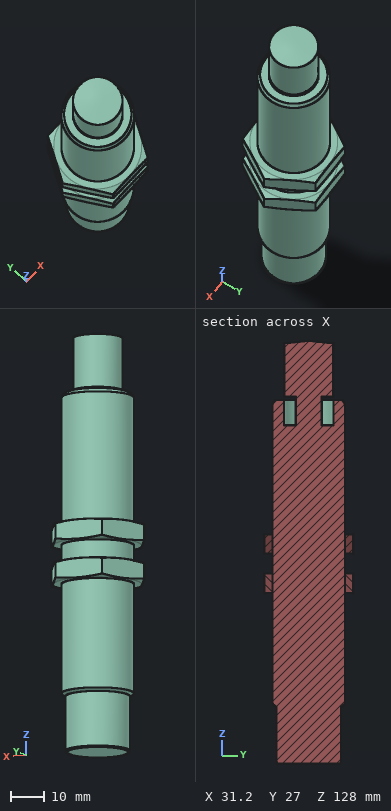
import cadquery as cq
import math

total_height = 128.0
shank_diameter = 19.6
shank_edge_chamfer = 0.4
barrel_diameter = 22.0
barrel_bottom = 17.2
barrel_bottom_chamfer_height = 0.9
barrel_top = 110.1
barrel_top_diameter = 20.4
barrel_top_chamfer_height = 1.2
recess_depth = 7.7
neck_diameter = 8.0
plunger_diameter = 15.0
recess_diameter = plunger_diameter
plunger_bottom = 111.0
plunger_cone_height = 0.8

nut_across_flats = 27.0
nut_across_corners = nut_across_flats / math.cos(math.radians(30))
nut_height = 6.0
nut_spacing = 11.9
lower_nut_bottom = 51.6
nut_count = 2
nut_face_diameter = 26.6
nut_chamfer_angle = 15.0


def make_sensor():
    """Shank, barrel with a recessed top, neck and cone-tipped plunger, revolved about Z."""
    shank_radius = shank_diameter / 2
    barrel_radius = barrel_diameter / 2
    recess_radius = recess_diameter / 2
    neck_radius = neck_diameter / 2
    plunger_radius = plunger_diameter / 2
    profile = [
        (0, 0),
        (shank_radius - shank_edge_chamfer, 0),
        (shank_radius, shank_edge_chamfer),
        (shank_radius, barrel_bottom),
        (barrel_radius, barrel_bottom + barrel_bottom_chamfer_height),
        (barrel_radius, barrel_top - barrel_top_chamfer_height),
        (barrel_top_diameter / 2, barrel_top),
        (recess_radius, barrel_top),
        (recess_radius, barrel_top - recess_depth),
        (neck_radius, barrel_top - recess_depth),
        (neck_radius, plunger_bottom),
        (plunger_radius, plunger_bottom),
        (plunger_radius, total_height - plunger_cone_height),
        (0, total_height),
    ]
    return cq.Workplane("XZ").polyline(profile).close().revolve(360, (0, 0), (0, 1))


def make_nut_envelope():
    """Turned blank whose conical ends bevel the corners of the nut."""
    face_radius = nut_face_diameter / 2
    corner_radius = nut_across_corners / 2
    bevel_height = (corner_radius - face_radius) * math.tan(math.radians(nut_chamfer_angle))
    profile = [
        (0, 0),
        (face_radius, 0),
        (corner_radius, bevel_height),
        (corner_radius, nut_height - bevel_height),
        (face_radius, nut_height),
        (0, nut_height),
    ]
    return cq.Workplane("XZ").polyline(profile).close().revolve(360, (0, 0), (0, 1))


def make_nut(bottom):
    """Bevelled hexagonal nut with a bore that fits the barrel."""
    hexagon = cq.Workplane("XY").polygon(6, nut_across_corners).extrude(nut_height)
    bore = cq.Workplane("XY").circle(barrel_diameter / 2).extrude(nut_height)
    nut = hexagon.intersect(make_nut_envelope()).cut(bore)
    return nut.translate((0, 0, bottom))


sensor = make_sensor()
nuts = [make_nut(lower_nut_bottom + i * nut_spacing) for i in range(nut_count)]

result = cq.Compound.makeCompound([sensor.val(), *[nut.val() for nut in nuts]])